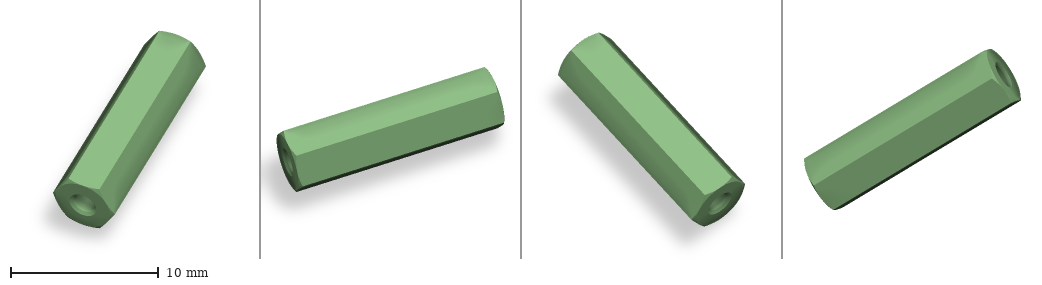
import cadquery as cq
import math

length = 15.0
across_flats = 4.0
across_corners = across_flats / math.cos(math.radians(30))

end_chamfer_angle = 30.0
bore_diameter = 1.6
bore_depth = 5.0
drill_point_angle = 118.0
countersink_diameter = 2.0

half_length = length / 2
flat_radius = across_flats / 2
corner_radius = across_corners / 2
bore_radius = bore_diameter / 2
countersink_radius = countersink_diameter / 2


def revolve_about_y(points):
    """Revolve a closed (radius, y) profile around the Y axis."""
    profile = cq.Workplane("XY").polyline(points).close()
    return profile.revolve(360, (0, 0, 0), (0, 1, 0))


def hexagonal_bar():
    """Hexagonal prism with flats facing +Z and -Z."""
    hexagon = cq.Workplane("XZ").polygon(6, across_corners)
    return hexagon.extrude(half_length, both=True)


def chamfer_envelope():
    """Turned envelope whose conical ends trim the hexagon corners."""
    chamfer_drop = (corner_radius - flat_radius) * math.tan(math.radians(end_chamfer_angle))
    shoulder = half_length - chamfer_drop
    return revolve_about_y([
        (0, -half_length),
        (flat_radius, -half_length),
        (corner_radius, -shoulder),
        (corner_radius, shoulder),
        (flat_radius, half_length),
        (0, half_length),
    ])


def front_bore():
    """Countersunk, cone-bottomed bore entering the -Y end."""
    countersink_depth = countersink_radius - bore_radius
    point_depth = bore_radius / math.tan(math.radians(drill_point_angle / 2))
    bore_bottom = -half_length + bore_depth
    return revolve_about_y([
        (0, -half_length),
        (countersink_radius, -half_length),
        (bore_radius, -half_length + countersink_depth),
        (bore_radius, bore_bottom),
        (0, bore_bottom + point_depth),
    ])


bore = front_bore()
result = hexagonal_bar().intersect(chamfer_envelope())
result = result.cut(bore).cut(bore.mirror("XZ"))